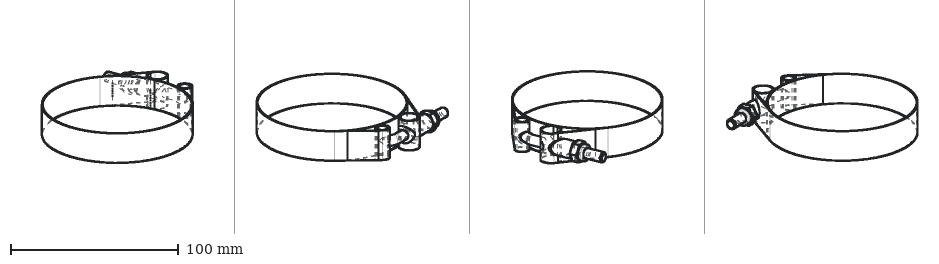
import cadquery as cq
import math


band_width = 19.1
band_thickness = 0.65
band_inner_radius = 88.9 / 2
band_outer_radius = band_inner_radius + band_thickness

sleeve_loop_inner_radius = 11.4 / 2
sleeve_loop_outer_radius = sleeve_loop_inner_radius + band_thickness
part_depth = 100.4
sleeve_loop_x = -15.7
sleeve_loop_y = part_depth - band_outer_radius - sleeve_loop_outer_radius

pin_loop_inner_radius = 7.6 / 2
pin_loop_outer_radius = pin_loop_inner_radius + band_thickness
pin_loop_x = 7.6
pin_loop_y = 49.1
pin_diameter = 6.3

bolt_diameter = 6.3
bolt_chamfer = 0.8
bolt_tilt = 10.0
bolt_tip = 37.5
bolt_bend = 14.2
bolt_bend_radius = 3.6
sleeve_diameter = 10.8
nut_flats = 11.4
nut_back = 17.3
nut_height = 5.1
nut_corner_chamfer_angle = 30.0
collar_diameter = 10.5
collar_length = 2.6
collar_fillet = 0.8

tilt = math.radians(bolt_tilt)
toward_tip = cq.Vector(-math.cos(tilt), -math.sin(tilt), 0)
tip_side = cq.selectors.DirectionMinMaxSelector(toward_tip)
sleeve_loop_center = cq.Vector(sleeve_loop_x, sleeve_loop_y, 0)
pin_center = cq.Vector(pin_loop_x, pin_loop_y, 0)


def upright_cylinder(radius, x=0.0, y=0.0):
    """Cylinder along Z over the full band width."""
    return cq.Workplane("XY").center(x, y).circle(radius).extrude(band_width / 2, both=True)


def upright_tube(inner_radius, outer_radius, x=0.0, y=0.0):
    """Ring of band material around a Z axis."""
    return upright_cylinder(outer_radius, x, y).cut(upright_cylinder(inner_radius, x, y))


def strap(loop_x, loop_y, loop_radius, side):
    """Flat strap along the outer tangent from a loop to the band; side is +1 left, -1 right."""
    center_distance = math.hypot(loop_x, loop_y)
    tangent_turn = math.acos((band_outer_radius - loop_radius) / center_distance)
    normal_angle = math.atan2(loop_y, loop_x) + side * tangent_turn
    normal_x = math.cos(normal_angle)
    normal_y = math.sin(normal_angle)

    def tangent_point(x, y, radius):
        return (x + radius * normal_x, y + radius * normal_y)

    corners = [
        tangent_point(0, 0, band_outer_radius),
        tangent_point(loop_x, loop_y, loop_radius),
        tangent_point(loop_x, loop_y, loop_radius - band_thickness),
        tangent_point(0, 0, band_inner_radius),
    ]
    return cq.Workplane("XY").polyline(corners).close().extrude(band_width / 2, both=True)


def bolt_plane(distance):
    """Plane across the bolt axis, facing the free tip, with local X along Z."""
    origin = sleeve_loop_center + toward_tip * distance
    return cq.Workplane(cq.Plane(origin=origin, xDir=(0, 0, 1), normal=toward_tip))


def make_sleeve():
    """Sleeve from the nut into the large loop, ending flush with the far side of the loop."""
    radius = sleeve_diameter / 2
    outside_loop = bolt_plane(0).circle(radius).extrude(nut_back)
    through_loop = bolt_plane(-sleeve_loop_outer_radius).circle(radius).extrude(sleeve_loop_outer_radius)
    loop_core = upright_cylinder(sleeve_loop_outer_radius, sleeve_loop_x, sleeve_loop_y)
    return outside_loop.union(through_loop.intersect(loop_core))


def make_nut():
    """Hexagon nut with corners chamfered at the front and a round collar."""
    corner_diameter = nut_flats / math.cos(math.pi / 6)
    flats_facing_z = (0, 0, 90)
    hexagon = (
        bolt_plane(nut_back).transformed(rotate=flats_facing_z)
        .polygon(6, corner_diameter).extrude(nut_height)
    )
    chamfer_width = (corner_diameter - collar_diameter) / 2
    chamfer_depth = chamfer_width * math.tan(math.radians(nut_corner_chamfer_angle))
    envelope = (
        bolt_plane(nut_back).circle(corner_diameter / 2).extrude(nut_height)
        .faces(tip_side)
        .chamfer(chamfer_depth, chamfer_width)
    )
    collar = (
        bolt_plane(nut_back + nut_height).circle(collar_diameter / 2).extrude(collar_length)
        .faces(tip_side)
        .edges().fillet(collar_fillet)
    )
    return hexagon.intersect(envelope).union(collar)


def make_bolt():
    """Round bolt with a chamfered tip, bent between the sleeve and the cross pin."""
    tip_point = sleeve_loop_center + toward_tip * bolt_tip
    bend_corner = sleeve_loop_center - toward_tip * bolt_bend
    toward_pin = (pin_center - bend_corner).normalized()
    bend_angle = math.pi - toward_tip.getAngle(toward_pin)
    tangent_length = bolt_bend_radius * math.tan(bend_angle / 2)
    bend_start = bend_corner + toward_tip * tangent_length
    bend_end = bend_corner + toward_pin * tangent_length
    path = (
        cq.Workplane("XY").moveTo(tip_point.x, tip_point.y)
        .lineTo(bend_start.x, bend_start.y)
        .tangentArcPoint((bend_end.x, bend_end.y), relative=False)
        .lineTo(pin_center.x, pin_center.y)
    )
    return (
        bolt_plane(bolt_tip).circle(bolt_diameter / 2).sweep(path)
        .faces(tip_side)
        .chamfer(bolt_chamfer)
    )


band = upright_tube(band_inner_radius, band_outer_radius)
sleeve_loop = upright_tube(sleeve_loop_inner_radius, sleeve_loop_outer_radius, sleeve_loop_x, sleeve_loop_y)
pin_loop = upright_tube(pin_loop_inner_radius, pin_loop_outer_radius, pin_loop_x, pin_loop_y)
left_strap = strap(sleeve_loop_x, sleeve_loop_y, sleeve_loop_outer_radius, 1)
right_strap = strap(pin_loop_x, pin_loop_y, pin_loop_outer_radius, -1)
pin = upright_cylinder(pin_diameter / 2, pin_loop_x, pin_loop_y)

result = band
for piece in (sleeve_loop, pin_loop, left_strap, right_strap, make_sleeve(), make_nut(), make_bolt(), pin):
    result = result.union(piece)